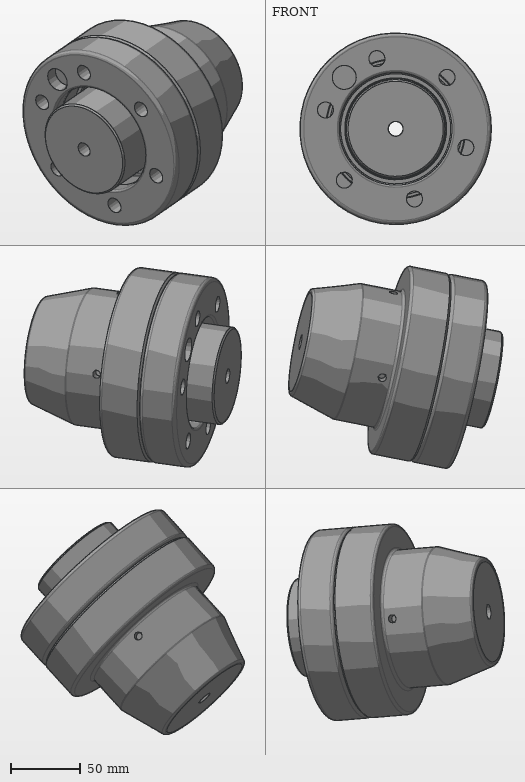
import cadquery as cq
import math


flange_front = 18.7
flange_back = 46.2
collar_back = 76.4
taper_start = 107.4
overall_length = 142.0

outer_radius = 69.15
centre_hole_diameter = 10.5
collar_recess_radius = 50.0
ring_radius = 48.0

shaft_radius = 35.5
shaft_seat_radius = 36.3
shaft_end_chamfer = 1.2
shaft_seat_chamfer = shaft_seat_radius - shaft_radius

flange_bore_radius = 40.7
flange_cavity_radius = 41.5
flange_lip_length = 10.6
flange_mouth_fillet = 1.5
flange_front_fillet = 2.75
flange_back_fillet = 2.5
hole_circle_radius = 52.45
bolt_hole_diameter = 11.5
bolt_hole_count = 6
bolt_hole_start_angle = -15.0
blind_hole_diameter = 17.3
blind_hole_depth = 9.5
blind_hole_angle = 135.0

sleeve_radius = 50.0
nose_end_radius = 39.15
collar_front_chamfer = 1.5
collar_back_fillet = 2.0
sleeve_root_fillet = 2.0
taper_blend_fillet = 2.0
nose_end_fillet = 2.0
collar_recess_depth = 4.0
collar_recess_chamfer = 0.6
radial_hole_diameter = 5.7
radial_hole_depth = 8.0
radial_hole_station = 84.4
radial_hole_count = 4
radial_hole_start_angle = 75.0

ring_thickness = 8.0
spacer_bore_radius = 39.7
spacer_bore_chamfer = 1.0
bearing_bore_chamfer = 0.5
spacer_front = flange_back + collar_recess_depth
bearing_front = spacer_front + ring_thickness
ring_seat_end = bearing_front + ring_thickness


def cylinder(radius, start, end):
    """Solid cylinder on the Y axis between two stations."""
    base = cq.Workplane("XZ", origin=(0, start, 0))
    return base.circle(radius).extrude(start - end)


def axial_hole(diameter, angle, start, end):
    """Cutter parallel to the axis, on the flange hole circle."""
    x = hole_circle_radius * math.cos(math.radians(angle))
    z = hole_circle_radius * math.sin(math.radians(angle))
    return cylinder(diameter / 2, start, end).translate((x, 0, z))


def circle_edge(radius, station):
    """Selector for the circular edge of a given radius at a given station."""
    reach = 0.01
    low = (-radius - reach, station - reach, -radius - reach)
    high = (radius + reach, station + reach, radius + reach)
    inner = radius - reach
    return cq.selectors.BoxSelector(low, high, boundingbox=True) - cq.selectors.BoxSelector(
        (-inner, low[1], -inner), (inner, high[1], inner), boundingbox=True
    )


def make_shaft():
    """Plain journal that steps up to a seat running to the nose end."""
    journal = cylinder(shaft_radius, 0, bearing_front)
    seat = cylinder(shaft_seat_radius, bearing_front, overall_length)
    seat = seat.edges(circle_edge(shaft_seat_radius, bearing_front)).chamfer(shaft_seat_chamfer)
    shaft = journal.union(seat)
    shaft = shaft.edges(circle_edge(shaft_radius, 0)).chamfer(shaft_end_chamfer)
    return shaft.cut(cylinder(centre_hole_diameter / 2, 0, overall_length))


def make_flange():
    """Clamping flange with a front lip, six bolt holes and one blind hole."""
    flange = cylinder(outer_radius, flange_front, flange_back)
    flange = flange.edges(circle_edge(outer_radius, flange_front)).fillet(flange_front_fillet)
    flange = flange.edges(circle_edge(outer_radius, flange_back)).fillet(flange_back_fillet)

    lip_end = flange_front + flange_lip_length
    flange = flange.cut(cylinder(flange_bore_radius, flange_front, lip_end))
    flange = flange.cut(cylinder(flange_cavity_radius, lip_end, flange_back))
    flange = flange.edges(circle_edge(flange_bore_radius, flange_front)).fillet(flange_mouth_fillet)

    for i in range(bolt_hole_count):
        angle = bolt_hole_start_angle + i * 360 / bolt_hole_count
        flange = flange.cut(axial_hole(bolt_hole_diameter, angle, flange_front, flange_back))
    blind_end = flange_front + blind_hole_depth
    return flange.cut(axial_hole(blind_hole_diameter, blind_hole_angle, flange_front, blind_end))


def radial_hole(angle):
    """Cutter for a blind flat-bottomed hole bored inward from the sleeve surface."""
    direction = cq.Vector(math.cos(math.radians(angle)), 0, math.sin(math.radians(angle)))
    floor = direction * (sleeve_radius - radial_hole_depth) + cq.Vector(0, radial_hole_station, 0)
    cutter_length = 2 * radial_hole_depth
    return cq.Solid.makeCylinder(radial_hole_diameter / 2, cutter_length, floor, direction)


def make_housing():
    """Collar, sleeve and tapered nose, with seats for the rings and the shaft."""
    outline = [
        (0, flange_back),
        (outer_radius, flange_back),
        (outer_radius, collar_back),
        (sleeve_radius, collar_back),
        (sleeve_radius, taper_start),
        (nose_end_radius, overall_length),
        (0, overall_length),
    ]
    housing = cq.Workplane("XY").polyline(outline).close().revolve(360, (0, 0, 0), (0, 1, 0))
    housing = housing.edges(circle_edge(outer_radius, flange_back)).chamfer(collar_front_chamfer)
    housing = housing.edges(circle_edge(outer_radius, collar_back)).fillet(collar_back_fillet)
    housing = housing.edges(circle_edge(sleeve_radius, collar_back)).fillet(sleeve_root_fillet)
    housing = housing.edges(circle_edge(sleeve_radius, taper_start)).fillet(taper_blend_fillet)
    housing = housing.edges(circle_edge(nose_end_radius, overall_length)).fillet(nose_end_fillet)

    housing = housing.cut(cylinder(collar_recess_radius, flange_back, spacer_front))
    housing = housing.cut(cylinder(ring_radius, spacer_front, ring_seat_end))
    housing = housing.cut(cylinder(shaft_seat_radius, ring_seat_end, overall_length))
    recess_edge = circle_edge(collar_recess_radius, flange_back)
    housing = housing.edges(recess_edge).chamfer(collar_recess_chamfer)

    for i in range(radial_hole_count):
        angle = radial_hole_start_angle + i * 360 / radial_hole_count
        housing = housing.cut(cq.Workplane(radial_hole(angle)))
    return housing


def make_ring(front, bore_radius, bore_chamfer):
    """Flat ring filling the housing seat, its bore chamfered on the front side."""
    back = front + ring_thickness
    ring = cylinder(ring_radius, front, back).cut(cylinder(bore_radius, front, back))
    return ring.edges(circle_edge(bore_radius, front)).chamfer(bore_chamfer)


shaft = make_shaft()
flange = make_flange()
housing = make_housing()
spacer_ring = make_ring(spacer_front, spacer_bore_radius, spacer_bore_chamfer)
bearing_ring = make_ring(bearing_front, shaft_seat_radius, bearing_bore_chamfer)

result = cq.Compound.makeCompound(
    [shaft.val(), flange.val(), housing.val(), spacer_ring.val(), bearing_ring.val()]
)